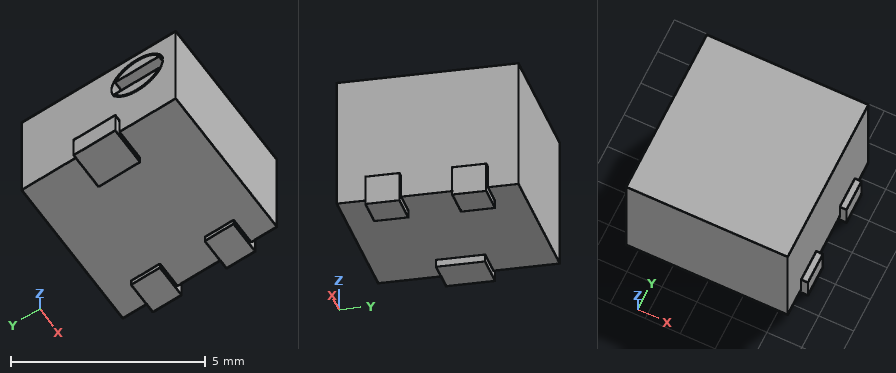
import cadquery as cq

body_length = 4.62
body_width = 4.815
body_height = 3.5

terminal_thickness = 0.2
side_thickness = 0.19
terminal_height = 0.79
wiper_width = 1.3
wiper_foot = 1.135
end_width = 0.9
end_foot = 0.99
end_offset = 1.15

screw_diameter = 1.5
recess_diameter = 1.6
screw_y = -1.2
screw_z = body_height - 1.1
recess_depth = 0.6
slot_width = 0.605
slot_depth = 0.5

face_x = body_length / 2


def terminal(side, y, width, foot):
    """L-shaped terminal on the +X (side = 1) or -X (side = -1) face."""
    outer = side * (face_x + side_thickness)
    inner = outer - side * foot
    return (
        cq.Workplane("XZ", origin=(0, y, 0))
        .moveTo(outer, -terminal_thickness)
        .lineTo(inner, -terminal_thickness)
        .lineTo(inner, 0)
        .lineTo(side * face_x, 0)
        .lineTo(side * face_x, terminal_height - terminal_thickness)
        .lineTo(outer, terminal_height - terminal_thickness)
        .close()
        .extrude(width / 2, both=True)
    )


def screw_cylinder(diameter, depth):
    """Cylinder reaching inward from the -X face on the screw axis."""
    return (
        cq.Workplane("YZ", origin=(-face_x, screw_y, screw_z))
        .circle(diameter / 2)
        .extrude(depth)
    )


body = cq.Workplane("XY").box(body_length, body_width, body_height, centered=(True, True, False))

screw = screw_cylinder(screw_diameter, recess_depth)
body = body.cut(screw_cylinder(recess_diameter, recess_depth)).union(screw)

slot_bar = (
    cq.Workplane("YZ", origin=(-face_x, screw_y, screw_z))
    .rect(screw_diameter, slot_width)
    .extrude(slot_depth)
)
slot = slot_bar.intersect(screw_cylinder(screw_diameter, slot_depth))
body = body.cut(slot)

result = body.union(terminal(-1, 0, wiper_width, wiper_foot))
for direction in (-1, 1):
    result = result.union(terminal(1, direction * end_offset, end_width, end_foot))